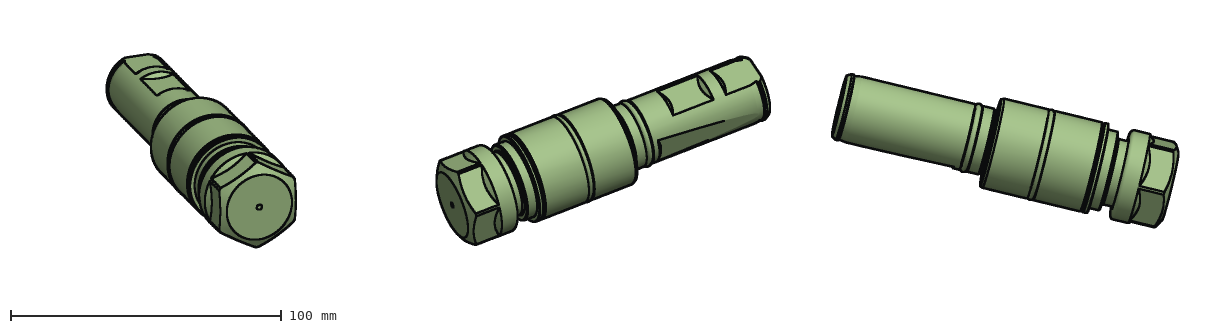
import cadquery as cq
import math

overall_length = 125.9

shank_radius = 25.0 / 2
shank_length = 57.5
shank_end_radius = 11.6
shank_chamfer_length = 1.6
mark_groove_start = 2.5
mark_groove_wall = 0.3
mark_groove_end = 5.5
shallow_depth = 0.4
undercut_start = 55.8
undercut_floor_length = 0.8

flange_radius = 34.0 / 2
flange_end = 98.3
flange_front_chamfer_length = 1.0
flange_front_chamfer_depth = 0.5
flange_rear_chamfer = 0.3
relief_start = 95.7
relief_floor_length = 0.8

collar_radius = 30.0 / 2
collar_end = 102.5
collar_chamfer = 0.4
neck_radius = 24.9 / 2
neck_root_length = 0.8
neck_root_rise = 0.4

bore_radius = 14.0 / 2
bore_depth = shank_length
coolant_radius = 2.0 / 2

pocket_height = 10.7
front_pocket_end = 15.7
rear_pocket_start = 20.9
rear_pocket_end = 37.6
tilt_angle = 2.0
tilted_flat_end = 46.3
tilted_flat_end_height = 11.1
cutter_margin = 3.8

small_ring_x = 50.1
small_ring_inner = 20.9 / 2
small_ring_outer = 26.0 / 2
small_groove_width = 3.0

large_ring_x = 76.7
large_ring_inner = 30.0 / 2
large_ring_outer = 34.4 / 2
large_groove_width = 2.4

nut_start = 106.8
nut_radius = flange_radius
nut_front_fillet = 1.6
nut_lead_in = 0.9
hex_start = 114.0
neck_end = hex_start
hex_across_flats = 30.0
hex_sides = 6
nut_chamfer_start = 123.5
nut_chamfer_angle = 30.0
nut_rim_start = 125.6
nut_rim_drop = 0.4


def turned(points):
    """Revolve a closed outline of (x, radius) points about the X axis."""
    return cq.Workplane("XY").polyline(points).close().revolve(360, (0, 0, 0), (1, 0, 0))


def cylinder(start, end, radius):
    return cq.Workplane("YZ", origin=(start, 0, 0)).circle(radius).extrude(end - start)


def o_ring(x, inner, outer):
    """Round-section ring; its inside rests on the floor of its groove."""
    section = cq.Workplane("XY").moveTo(x, (inner + outer) / 2).circle((outer - inner) / 2)
    return section.revolve(360, (0, 0, 0), (1, 0, 0))


def ring_groove(x, width, floor_radius, outer_radius):
    start = x - width / 2
    end = x + width / 2
    return cylinder(start, end, outer_radius).cut(cylinder(start, end, floor_radius))


def body_blank():
    """Shank, flange, collar and neck as one turned shape with the shallow grooves."""
    groove_radius = shank_radius - shallow_depth
    relief_radius = flange_radius - shallow_depth
    undercut_floor_start = undercut_start + shallow_depth
    undercut_floor_end = undercut_floor_start + undercut_floor_length
    relief_floor_end = relief_start + relief_floor_length
    return turned([
        (0, 0),
        (0, shank_end_radius),
        (shank_chamfer_length, shank_radius),
        (mark_groove_start, shank_radius),
        (mark_groove_start + mark_groove_wall, groove_radius),
        (mark_groove_end, shank_radius),
        (undercut_start, shank_radius),
        (undercut_floor_start, groove_radius),
        (undercut_floor_end, groove_radius),
        (shank_length, shank_radius),
        (shank_length, flange_radius - flange_front_chamfer_depth),
        (shank_length + flange_front_chamfer_length, flange_radius),
        (relief_start, flange_radius),
        (relief_start, relief_radius),
        (relief_floor_end, relief_radius),
        (relief_floor_end + shallow_depth, flange_radius),
        (flange_end - flange_rear_chamfer, flange_radius),
        (flange_end, flange_radius - flange_rear_chamfer),
        (flange_end, collar_radius),
        (collar_end - collar_chamfer, collar_radius),
        (collar_end, collar_radius - collar_chamfer),
        (collar_end, neck_radius + neck_root_rise),
        (collar_end + neck_root_length, neck_radius),
        (neck_end, neck_radius),
        (neck_end, 0),
    ])


def bevelled_ring_cutter(start, end):
    """Ring whose 45 degree conical ends meet the shank surface at start and end."""
    inner = pocket_height
    outer = shank_radius + cutter_margin
    inset = shank_radius - inner
    return turned([
        (start + inset, inner),
        (end - inset, inner),
        (end + cutter_margin, outer),
        (start - cutter_margin, outer),
    ])


def pocket_cutter(start, end):
    """Level flat on +Z with conical end walls."""
    top = shank_radius + cutter_margin
    above_flat = cq.Workplane("XY").box(
        2 * shank_length, 2 * top, top - pocket_height, centered=(True, True, False)
    ).translate((0, 0, pocket_height))
    return bevelled_ring_cutter(start, end).intersect(above_flat)


def tilted_flat_cutter():
    """Flat on +Y, tilted along the shank and closed by one conical end wall."""
    top = shank_radius + cutter_margin
    start_height = tilted_flat_end_height + tilted_flat_end * math.tan(math.radians(tilt_angle))
    beyond_flat = cq.Workplane("XY").polyline([
        (0, start_height),
        (tilted_flat_end, tilted_flat_end_height),
        (tilted_flat_end, top),
        (0, top),
    ]).close().extrude(top, both=True)
    return bevelled_ring_cutter(-cutter_margin, tilted_flat_end).intersect(beyond_flat)


def chuck_body():
    body = body_blank()
    body = body.cut(pocket_cutter(-cutter_margin, front_pocket_end))
    body = body.cut(pocket_cutter(rear_pocket_start, rear_pocket_end))
    body = body.cut(tilted_flat_cutter())
    body = body.cut(ring_groove(small_ring_x, small_groove_width, small_ring_inner, small_ring_outer))
    body = body.cut(ring_groove(large_ring_x, large_groove_width, large_ring_inner, large_ring_outer))
    body = body.cut(cylinder(0, bore_depth, bore_radius))
    return body.cut(cylinder(0, neck_end, coolant_radius))


def nut_blank():
    """Round nut with a filleted front edge and a conical chamfer at the far end."""
    chamfer_drop = (nut_rim_start - nut_chamfer_start) / math.tan(math.radians(nut_chamfer_angle))
    rim_radius = nut_radius - chamfer_drop
    arc_inset = nut_front_fillet * (1 - math.sqrt(0.5))
    outline = (
        cq.Workplane("XY")
        .moveTo(nut_start, 0)
        .lineTo(nut_start, nut_radius - nut_front_fillet)
        .threePointArc(
            (nut_start + arc_inset, nut_radius - arc_inset),
            (nut_start + nut_front_fillet, nut_radius),
        )
        .lineTo(nut_chamfer_start, nut_radius)
        .lineTo(nut_rim_start, rim_radius)
        .lineTo(overall_length, rim_radius - nut_rim_drop)
        .lineTo(overall_length, 0)
        .close()
    )
    return outline.revolve(360, (0, 0, 0), (1, 0, 0))


def hex_envelope():
    """Hexagon with flats facing +Y and -Y, plus the round front that runs into it as a 45 degree cone."""
    across_corners = hex_across_flats / math.cos(math.pi / hex_sides)
    hexagon = (
        cq.Workplane("YZ", origin=(nut_start, 0, 0))
        .transformed(rotate=(0, 0, 90))
        .polygon(hex_sides, across_corners)
        .extrude(overall_length - nut_start)
    )
    round_front = turned([
        (nut_start, 0),
        (nut_start, nut_radius),
        (hex_start, nut_radius),
        (hex_start + nut_radius, 0),
    ])
    return hexagon.union(round_front)


def clamping_nut():
    nut = nut_blank().intersect(hex_envelope())
    nut = nut.cut(cylinder(nut_start, neck_end, neck_radius))
    nut = nut.cut(turned([
        (nut_start, 0),
        (nut_start, neck_radius + nut_lead_in),
        (nut_start + nut_lead_in, neck_radius),
        (nut_start + nut_lead_in, 0),
    ]))
    return nut.cut(cylinder(neck_end, overall_length, coolant_radius))


body = chuck_body()
nut = clamping_nut()
small_o_ring = o_ring(small_ring_x, small_ring_inner, small_ring_outer)
large_o_ring = o_ring(large_ring_x, large_ring_inner, large_ring_outer)

result = cq.Compound.makeCompound([
    body.val(),
    nut.val(),
    small_o_ring.val(),
    large_o_ring.val(),
])